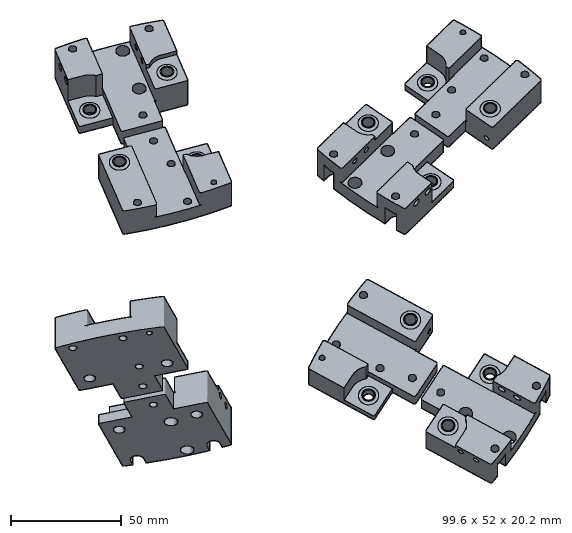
import cadquery as cq


length = 99.6
width = 52.0
outer_x = length / 2
tongue_x = 1.5
wing_x = 13.4
tongue_width = 19.9
channel_width = 20.3
end_bulge = 1.6
outer_corner_radius = 0.9
inner_corner_radius = 0.7

left_top = 20.2
left_floor = 9.2
left_back_wing = 17.6
left_front_wing = 5.0
right_top = 16.9
right_floor = 8.2
right_back_wing = 4.0

seat_x = 20.9
seat_y = 18.4
seat_height = 0.6
seat_base_radius = 4.6
seat_top_radius = 3.1
seat_bore_radius = 2.6
clearance_radius = 8.4
back_nose_x = 26.1
front_nose_x = 27.5

bolt_radius = 1.8
tapped_radius = 1.3
dowel_radius = 3.1
corner_hole_x = 45.5
corner_hole_y = 18.2
channel_hole_x = 22.5
channel_hole_y = 5.7
tongue_hole_x = 7.5
tongue_hole_y = 2.4

slot_radius = 3.1
slot_height = 12.3

cross_hole_xs = (32.1, 40.1)
cross_hole_z = 16.3
cross_back_radius = 1.4
end_hole_y = -22.4
end_hole_z = 5.8
end_hole_radius = 1.3
end_hole_depth = 12.0


def box(x_range, y_range, z_range):
    """A box between the given pairs of limits."""
    size = [high - low for low, high in (x_range, y_range, z_range)]
    return cq.Workplane("XY").box(*size, centered=False).translate((x_range[0], y_range[0], z_range[0]))


def upright(x, y, radius, z_low, z_high):
    """A vertical cylinder."""
    return cq.Workplane("XY", origin=(x, y, z_low)).circle(radius).extrude(z_high - z_low)


def round_uprights(body):
    """Round the vertical edges of a body, more strongly at the bulged end."""
    rounded = body.edges("|Z and <X").fillet(inner_corner_radius)
    outer_edges = [edge for edge in rounded.edges("|Z").vals() if edge.Center().x > corner_hole_x]
    return rounded.newObject(outer_edges).fillet(outer_corner_radius)


def end_envelope(height):
    """The full-width plan of the wings, with its bulged outer end."""
    half = width / 2
    return (
        cq.Workplane("XY")
        .moveTo(wing_x, -half)
        .lineTo(outer_x - end_bulge, -half)
        .threePointArc((outer_x, 0), (outer_x - end_bulge, half))
        .lineTo(wing_x, half)
        .close()
        .extrude(height)
    )


def shoulder(side, height):
    """The tall block on one side of the channel, with rounded upright edges."""
    y_range = sorted((side * channel_width / 2, side * width / 2))
    strip = box((wing_x, outer_x), y_range, (0, height))
    return round_uprights(end_envelope(height).intersect(strip))


def blank(top, floor):
    """A channelled block with a tongue on its inner end."""
    half_tongue = tongue_width / 2
    tongue = box((tongue_x, seat_x), (-half_tongue, half_tongue), (0, floor))
    tongue = tongue.edges("|Z and <X").fillet(inner_corner_radius)
    body = round_uprights(end_envelope(floor)).union(tongue)
    return body.union(shoulder(1, top)).union(shoulder(-1, top))


def wing_cut(side, wing_height, nose_x, top):
    """The space above a lowered wing, with round clearance about its bushing seat."""
    z_range = (wing_height, top)
    center_y = side * seat_y
    outside_y = side * width / 2
    near_nose = box((wing_x, nose_x), sorted((side * tongue_width / 2, outside_y)), z_range)
    beside_seat = box((wing_x, seat_x + clearance_radius), sorted((center_y, outside_y)), z_range)
    around_seat = upright(seat_x, center_y, clearance_radius, *z_range)
    return near_nose.union(beside_seat).union(around_seat)


def add_seat(body, side, height):
    """Raise a conical seat on the given height and bore it through."""
    cone = cq.Workplane(
        cq.Solid.makeCone(
            seat_base_radius, seat_top_radius, seat_height, cq.Vector(seat_x, side * seat_y, height)
        )
    )
    bore = upright(seat_x, side * seat_y, seat_bore_radius, 0, height + seat_height)
    return body.union(cone).cut(bore)


def corner_slot(side):
    """A round-ended slot below a corner hole, open at the bottom and the outer end."""
    y = side * corner_hole_y
    straight = box((corner_hole_x, outer_x), (y - slot_radius, y + slot_radius), (0, slot_height))
    return straight.union(upright(corner_hole_x, y, slot_radius, 0, slot_height))


def cross_hole(x, radius, y_low, y_high):
    """A hole along Y through a shoulder of the left block."""
    start = cq.Workplane("XZ", origin=(x, y_low, cross_hole_z))
    return start.circle(radius).extrude(y_low - y_high)


def make_left_block():
    body = blank(left_top, left_floor)
    body = body.cut(wing_cut(1, left_back_wing, back_nose_x, left_top))
    body = body.cut(wing_cut(-1, left_front_wing, front_nose_x, left_top))
    body = add_seat(body, 1, left_back_wing)
    body = add_seat(body, -1, left_front_wing)

    body = body.cut(upright(tongue_hole_x, tongue_hole_y, bolt_radius, 0, left_floor))
    for x in (channel_hole_x, corner_hole_x):
        body = body.cut(upright(x, channel_hole_y, dowel_radius, 0, left_floor))
    for side in (1, -1):
        body = body.cut(upright(corner_hole_x, side * corner_hole_y, bolt_radius, 0, left_top))
        body = body.cut(corner_slot(side))
    for x in cross_hole_xs:
        body = body.cut(cross_hole(x, bolt_radius, -width / 2, 0))
        body = body.cut(cross_hole(x, cross_back_radius, 0, width / 2))
    return body.mirror("YZ")


def make_right_block():
    body = blank(right_top, right_floor)
    body = body.cut(wing_cut(1, right_back_wing, back_nose_x, right_top))
    gap_y = (tongue_width / 2, channel_width / 2)
    body = body.cut(box((back_nose_x, seat_x + clearance_radius), gap_y, (right_back_wing, right_floor)))
    body = add_seat(body, 1, right_back_wing)
    body = add_seat(body, -1, right_top)

    body = body.cut(upright(tongue_hole_x, tongue_hole_y, bolt_radius, 0, right_floor))
    for x in (channel_hole_x, corner_hole_x):
        body = body.cut(upright(x, channel_hole_y, bolt_radius, 0, right_floor))
    body = body.cut(upright(corner_hole_x, corner_hole_y, tapped_radius, 0, right_top))
    body = body.cut(upright(corner_hole_x, -corner_hole_y, bolt_radius, 0, right_top))
    end_hole = cq.Workplane("YZ", origin=(wing_x, end_hole_y, end_hole_z))
    return body.cut(end_hole.circle(end_hole_radius).extrude(end_hole_depth))


left_block = make_left_block()
right_block = make_right_block()
result = cq.Compound.makeCompound([left_block.solids().val(), right_block.solids().val()])